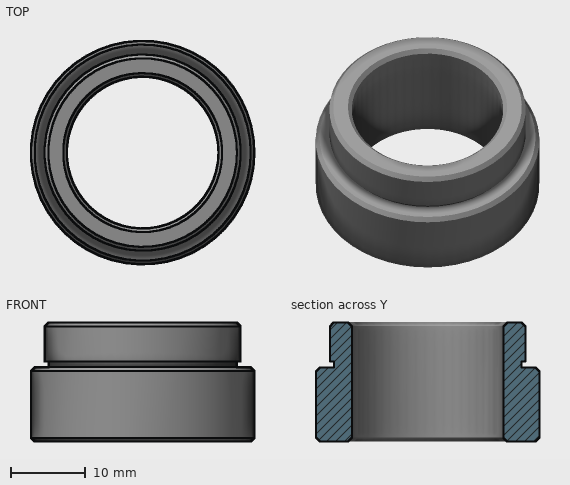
import cadquery as cq

outer_diameter = 30.0
total_height = 16.0
flange_height = 10.0

spigot_diameter = 26.3
groove_depth = 0.5
groove_height = 0.75

bore_diameter = 20.3

edge_chamfer = 0.5


def cylinder(diameter, bottom, top):
    """Cylinder on the Z axis between two heights."""
    return cq.Workplane("XY").workplane(offset=bottom).circle(diameter / 2).extrude(top - bottom)


flange = cylinder(outer_diameter, 0, flange_height).edges().chamfer(edge_chamfer)

groove_top = flange_height + groove_height
neck = cylinder(spigot_diameter - 2 * groove_depth, flange_height, groove_top)

spigot = cylinder(spigot_diameter, groove_top, total_height).faces(">Z").edges().chamfer(edge_chamfer)

bore = cylinder(bore_diameter, 0, total_height)
bored_body = flange.union(neck).union(spigot).cut(bore)

bore_mouths = cq.selectors.RadiusNthSelector(0)
result = bored_body.faces("<Z or >Z").edges(bore_mouths).chamfer(edge_chamfer)